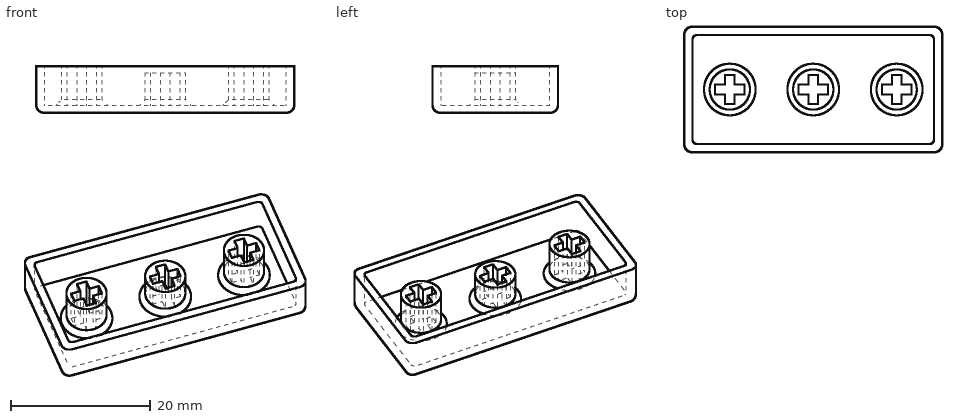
import cadquery as cq

length = 37.1
width = 18.05
height = 6.7
wall = 1.22
floor = 1.08
corner_radius = 1.2
bottom_edge_radius = 1.15
cavity_corner_radius = 0.6

stem_count = 3
stem_spacing = 12.0
stem_diameter = 5.8
middle_stem_drop = 1.0
collar_size = 0.8

cross_span = 4.2
cross_arm_width = 1.4


def make_shell():
    """Open-topped tray with rounded vertical corners and bottom edge."""
    body = cq.Workplane("XY").box(length, width, height, centered=(True, True, False))
    body = body.edges("|Z").fillet(corner_radius)
    body = body.faces("<Z").edges().fillet(bottom_edge_radius)
    cavity = (
        cq.Workplane("XY", origin=(0, 0, floor))
        .rect(length - 2 * wall, width - 2 * wall)
        .extrude(height - floor)
        .edges("|Z")
        .fillet(cavity_corner_radius)
    )
    return body.cut(cavity)


def make_stem(stem_top):
    """Round post on the tray floor, flared by a conical collar at its base."""
    radius = stem_diameter / 2
    profile = [
        (0, floor),
        (radius + collar_size, floor),
        (radius, floor + collar_size),
        (radius, stem_top),
        (0, stem_top),
    ]
    return cq.Workplane("XZ").polyline(profile).close().revolve(360, (0, 0), (0, 1))


def make_socket(stem_top):
    """Cross-shaped socket running down from the top of a stem."""
    cross_depth = stem_top - floor
    base = cq.Workplane("XY", origin=(0, 0, floor))
    along_x = base.rect(cross_span, cross_arm_width).extrude(cross_depth)
    along_y = base.rect(cross_arm_width, cross_span).extrude(cross_depth)
    return along_x.union(along_y)


result = make_shell()
middle_index = (stem_count - 1) / 2
for index in range(stem_count):
    stem_top = height - middle_stem_drop if index == middle_index else height
    place = cq.Vector((index - middle_index) * stem_spacing, 0, 0)
    result = result.union(make_stem(stem_top).translate(place))
    result = result.cut(make_socket(stem_top).translate(place))